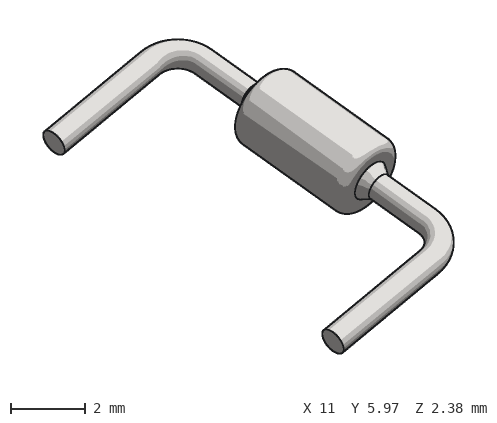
import cadquery as cq

overall_width = 10.95
overall_depth = 5.97
lead_diameter = 0.79
bend_radius = 1.01

body_length = 4.0
body_diameter = 2.38
body_edge_radius = 0.31

collar_length = 0.32
collar_base_diameter = 1.19

lead_radius = lead_diameter / 2
body_radius = body_diameter / 2
collar_base_radius = collar_base_diameter / 2
lead_x = overall_width / 2 - lead_radius
lead_reach = overall_depth - body_radius


def make_body():
    """Rounded body with a cone at each end, revolved about X and centred on the origin."""
    body_end_x = body_length / 2
    collar_tip_x = body_end_x + collar_length
    profile = (
        cq.Workplane("XY")
        .moveTo(-collar_tip_x, 0)
        .lineTo(-collar_tip_x, lead_radius)
        .lineTo(-body_end_x, collar_base_radius)
        .lineTo(-body_end_x, body_radius - body_edge_radius)
        .radiusArc((-body_end_x + body_edge_radius, body_radius), body_edge_radius)
        .lineTo(body_end_x - body_edge_radius, body_radius)
        .radiusArc((body_end_x, body_radius - body_edge_radius), body_edge_radius)
        .lineTo(body_end_x, collar_base_radius)
        .lineTo(collar_tip_x, lead_radius)
        .lineTo(collar_tip_x, 0)
        .close()
    )
    return profile.revolve(360, (0, 0, 0), (1, 0, 0))


def make_leads():
    """One U-shaped wire through the body, with both legs bent toward -Y."""
    bend_x = lead_x - bend_radius
    path = (
        cq.Workplane("XY")
        .moveTo(-lead_x, -lead_reach)
        .lineTo(-lead_x, -bend_radius)
        .radiusArc((-bend_x, 0), bend_radius)
        .lineTo(bend_x, 0)
        .radiusArc((lead_x, -bend_radius), bend_radius)
        .lineTo(lead_x, -lead_reach)
    )
    section = cq.Workplane("XZ", origin=(-lead_x, -lead_reach, 0)).circle(lead_radius)
    return section.sweep(path)


result = make_body().union(make_leads())